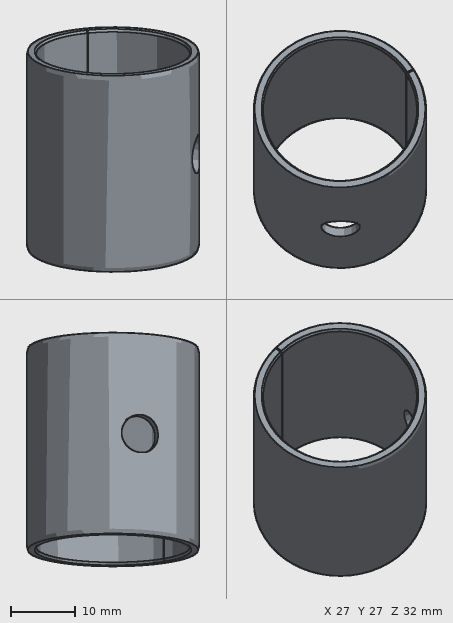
import cadquery as cq

outer_diameter = 27.0
inner_diameter = 24.0
height = 32.0

outer_chamfer_length = 0.7
outer_chamfer_depth = 0.2
inner_chamfer_length = 0.4
inner_chamfer_depth = 0.25

slit_width = 0.2

oil_hole_diameter = 6.0
oil_hole_angle = 60.0

outer_radius = outer_diameter / 2
inner_radius = inner_diameter / 2
half_height = height / 2


def make_sleeve():
    """Revolve the wall section, with both ends chamfered inside and out."""
    section = (
        cq.Workplane("XZ")
        .moveTo(inner_radius + inner_chamfer_depth, -half_height)
        .lineTo(outer_radius - outer_chamfer_depth, -half_height)
        .lineTo(outer_radius, -half_height + outer_chamfer_length)
        .lineTo(outer_radius, half_height - outer_chamfer_length)
        .lineTo(outer_radius - outer_chamfer_depth, half_height)
        .lineTo(inner_radius + inner_chamfer_depth, half_height)
        .lineTo(inner_radius, half_height - inner_chamfer_length)
        .lineTo(inner_radius, -half_height + inner_chamfer_length)
        .close()
    )
    return section.revolve(360, (0, 0), (0, 1))


def make_slit():
    """Thin full-height cutter reaching from the axis past the outside on -X."""
    return cq.Workplane("XY").box(outer_diameter, slit_width, height).translate((-outer_radius, 0, 0))


def make_oil_hole():
    """Radial cylinder from the axis outwards at mid height."""
    drill = cq.Workplane("YZ").circle(oil_hole_diameter / 2).extrude(outer_diameter)
    return drill.rotate((0, 0, 0), (0, 0, 1), oil_hole_angle)


result = make_sleeve().cut(make_slit()).cut(make_oil_hole())